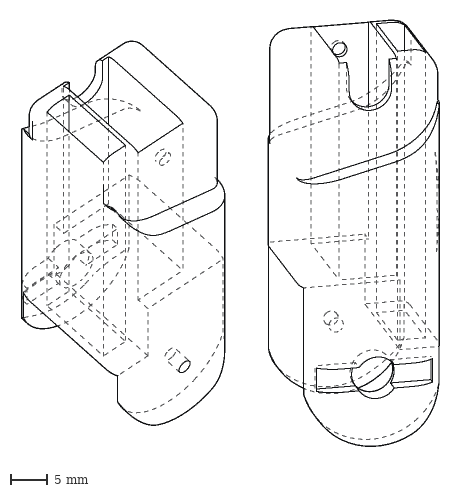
import cadquery as cq
import math

height = 55.0
sleeve_width = 26.0
depth = 20.1
bulge_height = 1.9
sleeve_corner_radius = 5.0
front = -depth / 2

head_width = 18.9
head_corner_radius = 1.9
head_top_radius = 3.0

shoulder_back_z = 38.2
shoulder_bend_y = -2.6
shoulder_bend_z = 41.3
shoulder_front_y = -9.7
shoulder_front_z = 48.0

leg_gap = 19.9
front_wall_bottom = 12.75
back_wall_bottom = 22.95
leg_end_radius = 10.0
pivot_z = leg_end_radius

main_pocket_width = 15.8
main_pocket_depth = 8.15
front_pocket_width = 11.95
front_pocket_depth = 4.0
divider_thickness = 0.65

access_radius = 3.0
pin_radius = 1.02
head_pin_z = 50.95
head_pin_depth = 1.0
strap_slot_length = 16.5
strap_slot_height = 3.4
strap_slot_depth = 2.2

bulge_width = 16.0
bulge_embed = 0.55
bulge_top = height - head_top_radius
bulge_peak_z = 30.8
bulge_lower_power = 1.5
bulge_upper_power = 2.5
bulge_steps = 6


def block(width, length, bottom, top, y=0.0):
    """Box centred on X = 0 with its middle at the given Y."""
    box = cq.Workplane("XY").box(width, length, top - bottom, centered=(True, True, False))
    return box.translate((0, y, bottom))


def rod_along_x(radius, z, start, end):
    """Cylinder along X at Y = 0."""
    return cq.Workplane("YZ", origin=(start, 0, z)).circle(radius).extrude(end - start)


def make_head():
    head = block(head_width, depth, front_wall_bottom, height)
    head = head.edges("|Z").fillet(head_corner_radius)
    return head.faces(">Z").edges().fillet(head_top_radius)


def make_sleeve():
    """Rounded sleeve with a sloping shoulder and legs ending in half circles."""
    sleeve = block(sleeve_width, depth, 0, height).edges("|Z").fillet(sleeve_corner_radius)
    back = -front
    side_profile = (
        cq.Workplane("YZ")
        .moveTo(back, pivot_z)
        .lineTo(back, shoulder_back_z)
        .lineTo(shoulder_bend_y, shoulder_bend_z)
        .tangentArcPoint((shoulder_front_y, shoulder_front_z), relative=False)
        .lineTo(front, shoulder_front_z)
        .lineTo(front, pivot_z)
        .lineTo(-leg_end_radius, pivot_z)
        .threePointArc((0, pivot_z - leg_end_radius), (leg_end_radius, pivot_z))
        .close()
        .extrude(sleeve_width / 2, both=True)
    )
    return sleeve.intersect(side_profile)


def bulge_section(z, swell):
    """Closed bell-shaped wire at height z, standing out from the front face by the swell."""
    half = bulge_width / 2
    bell = [
        (-half, front),
        (-half / 2, front - swell / 2),
        (0, front - swell),
        (half / 2, front - swell / 2),
        (half, front),
    ]
    section = (
        cq.Workplane("XY", origin=(0, 0, z))
        .moveTo(-half, front + bulge_embed)
        .lineTo(*bell[0])
        .spline(bell[1:], includeCurrent=True)
        .lineTo(half, front + bulge_embed)
        .close()
    )
    return section.val()


def make_bulge():
    """Loft that swells to a peak and fades into the front face, gently towards the top."""
    wires = []
    for i in range(-bulge_steps, bulge_steps + 1):
        along = i / bulge_steps
        reach = bulge_top - bulge_peak_z if i > 0 else bulge_peak_z - front_wall_bottom
        power = bulge_upper_power if i > 0 else bulge_lower_power
        fade = max(0.0, math.cos(math.pi / 2 * along)) ** power
        wires.append(bulge_section(bulge_peak_z + reach * along, bulge_height * fade))
    bulge = cq.Workplane(cq.Solid.makeLoft(wires))
    head_flat = head_width - 2 * head_corner_radius
    limits = block(bulge_width, 2 * depth, front_wall_bottom, shoulder_front_z)
    limits = limits.union(block(head_flat, 2 * depth, front_wall_bottom, bulge_top))
    return bulge.intersect(limits)


def cut_leg_gap(body):
    """Open the space between the legs; it reaches higher behind the divider."""
    divider_back = -main_pocket_depth / 2
    rear_length = depth / 2 - divider_back
    body = body.cut(block(leg_gap, depth, 0, front_wall_bottom))
    rear_gap = block(leg_gap, rear_length, 0, back_wall_bottom, divider_back + rear_length / 2)
    return body.cut(rear_gap)


def cut_pockets(body):
    front_pocket_y = -main_pocket_depth / 2 - divider_thickness - front_pocket_depth / 2
    body = body.cut(block(main_pocket_width, main_pocket_depth, 0, height))
    return body.cut(block(front_pocket_width, front_pocket_depth, 0, height, front_pocket_y))


def cut_pin_features(body):
    outer = sleeve_width / 2
    inner = main_pocket_width / 2
    notch_length = outer - inner
    notch_top = cq.Workplane("XY").box(
        notch_length, 2 * access_radius, height - head_pin_z, centered=(False, True, False)
    ).translate((-outer, 0, head_pin_z))
    body = body.cut(rod_along_x(access_radius, head_pin_z, -outer, -inner)).cut(notch_top)
    body = body.cut(rod_along_x(pin_radius, head_pin_z, inner, inner + head_pin_depth))
    body = body.cut(rod_along_x(access_radius, pivot_z, -outer, 0))
    body = body.cut(rod_along_x(pin_radius, pivot_z, 0, outer))
    slot = cq.Workplane("XY").box(
        strap_slot_depth, strap_slot_length, strap_slot_height, centered=(False, True, True)
    ).translate((-outer, 0, pivot_z))
    return body.cut(slot)


body = make_sleeve().union(make_head()).union(make_bulge())
body = cut_leg_gap(body)
body = cut_pockets(body)
result = cut_pin_features(body)